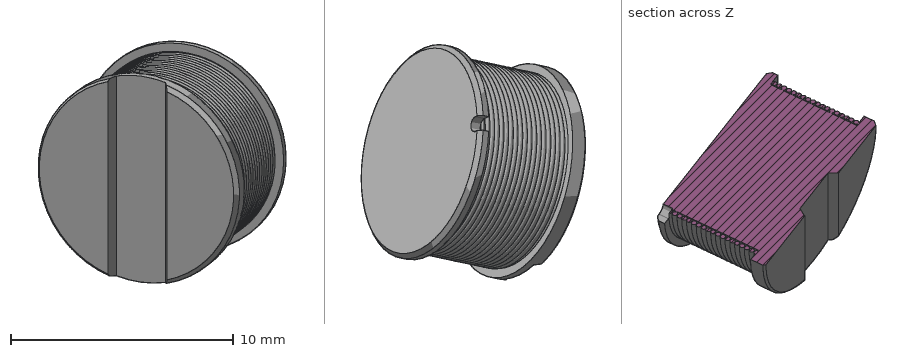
import cadquery as cq
flange_diameter = 9.8
overall_length = 5.8
front_flange_thickness = 0.76
rear_flange_thickness = 0.5

rear_chamfer = 0.2
front_chamfer_left = 0.1
front_chamfer_right = 0.2

channel_depth = 0.4
channel_mouth_width = 2.9
channel_floor_width = 2.4

notch_width = 0.7
notch_depth = 0.7

wire_diameter = 0.25
core_clearance = 0.01
winding_diameter = 9.05
winding_pitch = 0.2537
wire_embed = 0.13
winding_start_angle = 338.0

flange_radius = flange_diameter / 2
front_y = -overall_length / 2
rear_y = overall_length / 2
front_inner_y = front_y + front_flange_thickness
rear_inner_y = rear_y - rear_flange_thickness
helix_length = rear_inner_y - front_inner_y + 2 * wire_embed
coil_radius = (winding_diameter - wire_diameter) / 2
core_radius = coil_radius - wire_diameter / 2 - core_clearance


def disc(radius, y_start, y_end):
    """Cylinder along Y between two stations."""
    return cq.Workplane("XZ", origin=(0, y_start, 0)).circle(radius).extrude(y_start - y_end)


def half_space(side):
    """Block covering the +X (side=1) or -X (side=-1) half of the part."""
    block = cq.Workplane("XY").box(flange_diameter, 2 * overall_length, 2 * flange_diameter)
    return block.translate((side * flange_diameter / 2, 0, 0))


def make_front_flange():
    """Front flange with a different rim chamfer on each half and the channel across its face."""
    blank = disc(flange_radius, front_y, front_inner_y)
    left = blank.faces("<Y").chamfer(front_chamfer_left).intersect(half_space(-1))
    right = blank.faces("<Y").chamfer(front_chamfer_right).intersect(half_space(1))
    channel = (
        cq.Workplane("XY")
        .polyline([
            (-channel_mouth_width / 2, front_y),
            (channel_mouth_width / 2, front_y),
            (channel_floor_width / 2, front_y + channel_depth),
            (-channel_floor_width / 2, front_y + channel_depth),
        ])
        .close()
        .extrude(flange_radius, both=True)
    )
    return left.union(right).cut(channel)


def make_rear_flange():
    """Rear flange with a chamfered outer rim."""
    return disc(flange_radius, rear_inner_y, rear_y).faces(">Y").chamfer(rear_chamfer)


def make_notch_cutter():
    """Round-ended notch through the rear flange thickness, open at its -X rim."""
    return (
        cq.Workplane("XZ", origin=(-flange_radius, rear_inner_y, 0))
        .slot2D(2 * notch_depth, notch_width)
        .extrude(-rear_flange_thickness)
    )


def make_winding():
    """Right-handed wire helix around Y; both wire ends are buried in the flanges."""
    path = cq.Wire.makeHelix(winding_pitch, helix_length, coil_radius)
    wire = (
        cq.Workplane("XZ")
        .center(coil_radius, 0)
        .circle(wire_diameter / 2)
        .sweep(cq.Workplane(path), isFrenet=True)
    )
    along_y = wire.rotate((0, 0, 0), (1, 0, 0), -90).translate((0, front_inner_y - wire_embed, 0))
    return along_y.rotate((0, 0, 0), (0, 1, 0), -winding_start_angle)


core = disc(core_radius, front_inner_y, rear_inner_y)
bobbin = make_front_flange().union(core).union(make_rear_flange())
result = bobbin.union(make_winding()).cut(make_notch_cutter())